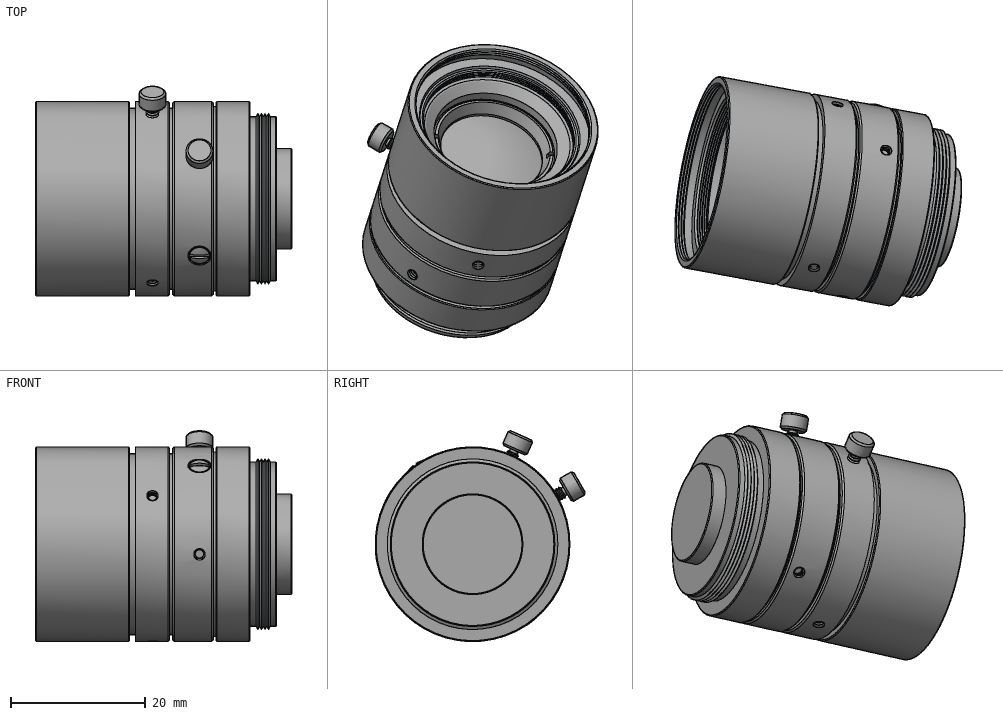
import cadquery as cq
import math


front_ring_end = 13.95
focus_ring_start = 14.85
focus_ring_end = 19.95
iris_ring_start = 20.4
iris_ring_end = 26.45
mount_ring_start = 26.85
mount_ring_end = 31.9
mount_thread_start = 32.83
mount_thread_end = 34.95
mount_end = 35.9
overall_length = 38.16

barrel_radius = 29.0 / 2
groove_radius = 27.0 / 2
mount_groove_radius = 27.5 / 2
mount_radius = 24.5 / 2
mount_thread_radius = 25.4 / 2
rear_stub_radius = 15.0 / 2
cut_clearance = 1.0
small_chamfer = 0.15
ring_chamfer = 0.25
mount_thread_turns = 4

filter_major_radius = 27.0 / 2
filter_minor_radius = 26.5 / 2
filter_thread_depth = 1.25
filter_thread_turns = 3
undercut_radius = 27.5 / 2
undercut_depth = 2.45
step_radius = 24.5 / 2
step_inner_radius = 12.08
step_depth = 2.8
inner_major_radius = 11.75
inner_minor_radius = 11.5
inner_thread_depth = 4.2
inner_thread_turns = 4
funnel_lip_radius = 11.1
funnel_lip_depth = 4.3
funnel_start_radius = 10.8
funnel_end_radius = 9.4
funnel_end_depth = 5.3
retainer_wall_radius = 9.25
retainer_outer_radius = 9.0
retainer_gap_depth = 6.5
retainer_depth = 6.35
retainer_inner_radius = 17.1 / 2
lens_radius = 15.5 / 2
lens_seat_depth = 8.1
lens_edge_depth = 8.5
lens_curvature = 22.0
spanner_slot_width = 0.65
spanner_slot_outer_radius = 9.2
spanner_slot_depth = 0.8

focus_screw_x = 17.4
iris_screw_x = 24.4
focus_screw_angle = 60
iris_screw_angle = 24
focus_head_top = 18.39
iris_head_top = 17.75
screw_head_radius = 4.0 / 2
screw_head_height = 2.45
screw_head_chamfer = 0.3
screw_neck_radius = 1.3 / 2
screw_neck_length = 0.4
screw_thread_root_radius = 1.5 / 2
screw_thread_radius = 1.9 / 2
screw_thread_pitch = 0.4
screw_bottom = 13.0

holes_per_ring = 3
hole_spacing = 360 / holes_per_ring
set_hole_major_radius = 1.7 / 2
set_hole_minor_radius = 1.3 / 2
set_hole_floor = 13.2
set_hole_mouth = 14.4
slotted_screw_angle = -36
slotted_screw_hole_radius = 3.4 / 2
slotted_screw_floor = 14.0
slotted_screw_radius = 3.0 / 2
slotted_screw_edge = 14.4
slotted_screw_apex = 14.7
driver_slot_width = 0.6
driver_slot_floor = 14.2


def zigzag(start, end, root, crest, turns):
    """Points of annular thread ridges that swing from the root radius to the crest and back."""
    pitch = (end - start) / turns
    points = []
    for turn in range(turns):
        points.append((start + turn * pitch, root))
        points.append((start + (turn + 0.5) * pitch, crest))
    points.append((end, root))
    return points


def chamfered_ring(start, end, start_chamfer, end_chamfer):
    """Outline points of one full-diameter barrel ring."""
    return [
        (start, barrel_radius - start_chamfer),
        (start + start_chamfer, barrel_radius),
        (end - end_chamfer, barrel_radius),
        (end, barrel_radius - end_chamfer),
    ]


def turned(outline):
    """Solid of revolution about X from a closed (x, radius) outline."""
    return outline.close().revolve(360, (0, 0, 0), (1, 0, 0))


def make_barrel():
    points = [(0, 0)]
    points += chamfered_ring(0, front_ring_end, small_chamfer, small_chamfer)
    points += [(front_ring_end, groove_radius), (focus_ring_start, groove_radius)]
    points += [(focus_ring_start, barrel_radius)]
    points += [(focus_ring_end - ring_chamfer, barrel_radius)]
    points += [(focus_ring_end, barrel_radius - ring_chamfer)]
    points += [(focus_ring_end, groove_radius), (iris_ring_start, groove_radius)]
    points += chamfered_ring(iris_ring_start, iris_ring_end, ring_chamfer, ring_chamfer)
    points += [(iris_ring_end, mount_groove_radius), (mount_ring_start, mount_groove_radius)]
    points += chamfered_ring(mount_ring_start, mount_ring_end, small_chamfer, small_chamfer)
    points += [(mount_ring_end, mount_radius)]
    points += zigzag(
        mount_thread_start, mount_thread_end, mount_radius, mount_thread_radius, mount_thread_turns
    )
    points += [
        (mount_end - small_chamfer, mount_radius),
        (mount_end, mount_radius - small_chamfer),
        (mount_end, rear_stub_radius),
        (overall_length - small_chamfer, rear_stub_radius),
        (overall_length, rear_stub_radius - small_chamfer),
        (overall_length, 0),
    ]
    return turned(cq.Workplane("XY").polyline(points))


def make_front_bore():
    """Space in front of the lens, closed by the convex lens surface."""
    points = [(0, 0)]
    points += zigzag(
        0, filter_thread_depth, filter_major_radius, filter_minor_radius, filter_thread_turns
    )
    points += [
        (filter_thread_depth, undercut_radius),
        (undercut_depth, undercut_radius),
        (undercut_depth, step_radius),
        (step_depth, step_inner_radius),
    ]
    points += zigzag(
        step_depth, inner_thread_depth, inner_major_radius, inner_minor_radius, inner_thread_turns
    )
    points += [
        (inner_thread_depth, funnel_lip_radius),
        (funnel_lip_depth, funnel_start_radius),
        (funnel_end_depth, funnel_end_radius),
        (retainer_gap_depth, retainer_wall_radius),
        (retainer_gap_depth, retainer_outer_radius),
        (retainer_depth, retainer_outer_radius),
        (retainer_depth, retainer_inner_radius),
        (lens_seat_depth, lens_radius),
        (lens_edge_depth, lens_radius),
        (lens_edge_depth, 0),
    ]
    lens_centre = lens_edge_depth + math.sqrt(lens_curvature**2 - lens_radius**2)
    lens = cq.Workplane("XY").sphere(lens_curvature).translate((lens_centre, 0, 0))
    return turned(cq.Workplane("XY").polyline(points)).cut(lens)


def make_spanner_slots():
    """Cutter for two opposite slots in the retaining ring, open in the middle over the lens."""
    spanner_slot_span = 2 * spanner_slot_outer_radius
    bar = cq.Workplane("XY").box(
        spanner_slot_depth, spanner_slot_span, spanner_slot_width, centered=(False, True, True)
    )
    gap = cq.Workplane("YZ").circle(lens_radius).extrude(spanner_slot_depth)
    return bar.cut(gap).translate((retainer_depth, 0, 0))


def radial_plane(x, angle, distance):
    """Plane facing outward at a distance from the axis, with its x direction along the axis."""
    tilt = math.radians(angle)
    outward = cq.Vector(0, math.sin(tilt), math.cos(tilt))
    origin = cq.Vector(x, 0, 0) + outward * distance
    return cq.Plane(origin, xDir=(1, 0, 0), normal=outward)


def radial_disc(x, angle, bottom, top, radius):
    return cq.Workplane(radial_plane(x, angle, bottom)).circle(radius).extrude(top - bottom)


def side_sketch(x, angle, bottom):
    """Workplane holding a radial axis: local y runs outward from the bottom distance."""
    plane = radial_plane(x, angle, bottom)
    return cq.Workplane(cq.Plane(plane.origin, plane.xDir, plane.xDir.cross(plane.zDir)))


def spun(outline):
    """Solid of revolution about the radial axis of a side sketch."""
    return outline.close().revolve(360, (0, 0, 0), (0, 1, 0))


def ridged_rod(x, angle, bottom, top, end_radius, middle_radius):
    """Radial rod whose radius swings between two values once per thread pitch."""
    length = top - bottom
    turns = round(length / screw_thread_pitch)
    ridges = zigzag(0, length, end_radius, middle_radius, turns)
    outline = [(0, 0)] + [(radius, height) for height, radius in ridges] + [(0, length)]
    return spun(side_sketch(x, angle, bottom).polyline(outline))


def make_thumb_screw(x, angle, head_top):
    head_bottom = head_top - screw_head_height
    thread_top = head_bottom - screw_neck_length
    head = radial_disc(x, angle, head_bottom, head_top, screw_head_radius)
    head = head.edges("%CIRCLE").chamfer(screw_head_chamfer)
    neck = radial_disc(x, angle, screw_bottom, head_bottom, screw_neck_radius)
    thread = ridged_rod(
        x, angle, screw_bottom, thread_top, screw_thread_root_radius, screw_thread_radius
    )
    return head.union(neck).union(thread)


def make_set_screw_hole(x, angle):
    """Cutter for a shallow threaded hole with a plain mouth."""
    mouth = radial_disc(x, angle, set_hole_mouth, barrel_radius + cut_clearance, set_hole_major_radius)
    thread = ridged_rod(
        x, angle, set_hole_floor, set_hole_mouth, set_hole_major_radius, set_hole_minor_radius
    )
    return mouth.union(thread)


def add_slotted_screw(body):
    """Domed screw head in a slightly wider pocket, with a driver slot along the lens axis."""
    place = (iris_screw_x, slotted_screw_angle)
    pocket = radial_disc(
        *place, slotted_screw_floor, barrel_radius + cut_clearance, slotted_screw_hole_radius
    )
    edge_height = slotted_screw_edge - slotted_screw_floor
    apex_height = slotted_screw_apex - slotted_screw_floor
    dome_rise = apex_height - edge_height
    dome_radius = (slotted_screw_radius**2 + dome_rise**2) / (2 * dome_rise)
    middle_radius = slotted_screw_radius / 2
    middle_height = apex_height - dome_radius + math.sqrt(dome_radius**2 - middle_radius**2)
    head = spun(
        side_sketch(*place, slotted_screw_floor)
        .lineTo(slotted_screw_radius, 0)
        .lineTo(slotted_screw_radius, edge_height)
        .threePointArc((middle_radius, middle_height), (0, apex_height))
    )
    slot = (
        cq.Workplane(radial_plane(*place, driver_slot_floor))
        .rect(2 * slotted_screw_hole_radius, driver_slot_width)
        .extrude(slotted_screw_apex - driver_slot_floor)
    )
    return body.cut(pocket).union(head.cut(slot))


result = make_barrel().cut(make_front_bore()).cut(make_spanner_slots())
result = add_slotted_screw(result)

ring_screws = [
    (focus_screw_x, focus_screw_angle, focus_head_top),
    (iris_screw_x, iris_screw_angle, iris_head_top),
]
for screw_x, screw_angle, head_top in ring_screws:
    result = result.union(make_thumb_screw(screw_x, screw_angle, head_top))
    for index in range(1, holes_per_ring):
        result = result.cut(make_set_screw_hole(screw_x, screw_angle + index * hole_spacing))